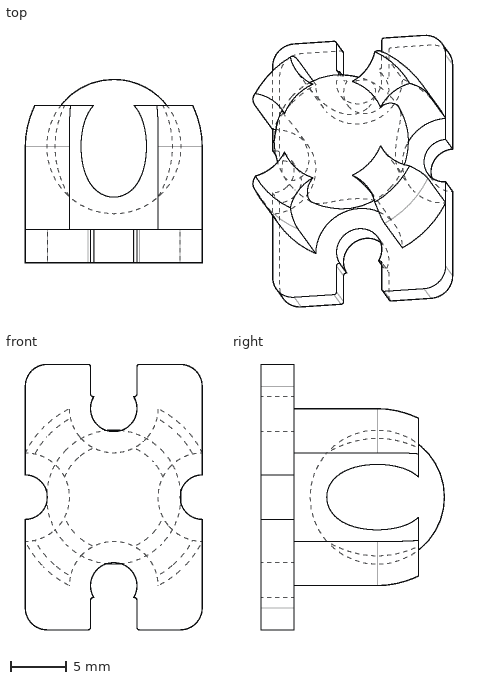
import cadquery as cq
import math

plate_height = 24.0
plate_width = plate_height * 2 / 3
plate_thickness = 3.0
corner_radius = plate_width / 8
side_notch_radius = plate_width / 8

slot_radius = 2.1
slot_seat_z = plate_height / 3
slot_lip_z = 9.07
slot_fillet = 0.25

ball_radius = 6.07
ball_center_y = 10.5
socket_end_y = 14.23
finger_count = 4
finger_gap_offset = plate_width / 2
finger_gap_radius = plate_width / 4
socket_radius = math.hypot(finger_gap_offset, finger_gap_radius)


def make_ball():
    """Ball with its poles on the socket axis."""
    return (
        cq.Workplane("XY")
        .moveTo(0, ball_center_y - ball_radius)
        .threePointArc((ball_radius, ball_center_y), (0, ball_center_y + ball_radius))
        .close()
        .revolve(360, (0, 0, 0), (0, 1, 0))
    )


def make_slot_cutter():
    """Upper screw slot, including the rounded lips and the rounded mouth edges."""
    top_z = plate_height / 2
    lip_x = math.sqrt(slot_radius**2 - (slot_lip_z - slot_seat_z)**2)
    fillet_x = slot_radius - slot_fillet
    mouth_x = slot_radius + slot_fillet
    diagonal = slot_fillet * math.sqrt(0.5)
    lip_arc_x = fillet_x + diagonal
    lip_arc_z = slot_lip_z + slot_fillet - diagonal
    mouth_arc_x = mouth_x - diagonal
    mouth_arc_z = top_z - slot_fillet + diagonal
    return (
        cq.Workplane("XZ")
        .moveTo(-lip_x, slot_lip_z)
        .threePointArc((0, slot_seat_z - slot_radius), (lip_x, slot_lip_z))
        .lineTo(fillet_x, slot_lip_z)
        .threePointArc((lip_arc_x, lip_arc_z), (slot_radius, slot_lip_z + slot_fillet))
        .lineTo(slot_radius, top_z - slot_fillet)
        .threePointArc((mouth_arc_x, mouth_arc_z), (mouth_x, top_z))
        .lineTo(-mouth_x, top_z)
        .threePointArc((-mouth_arc_x, mouth_arc_z), (-slot_radius, top_z - slot_fillet))
        .lineTo(-slot_radius, slot_lip_z + slot_fillet)
        .threePointArc((-lip_arc_x, lip_arc_z), (-fillet_x, slot_lip_z))
        .close()
        .extrude(-plate_thickness)
    )


def make_plate():
    plate = (
        cq.Workplane("XZ")
        .rect(plate_width, plate_height)
        .extrude(-plate_thickness)
        .edges("|Y")
        .fillet(corner_radius)
    )
    upper_slot = make_slot_cutter()
    plate = plate.cut(upper_slot).cut(upper_slot.mirror("XY"))
    side_notches = (
        cq.Workplane("XZ")
        .pushPoints([(-plate_width / 2, 0), (plate_width / 2, 0)])
        .circle(side_notch_radius)
        .extrude(-plate_thickness)
    )
    return plate.cut(side_notches)


def make_socket():
    """Cylinder with a spherical outer end, split into four fingers around the ball seat."""
    end_distance = socket_end_y - ball_center_y
    end_angle = math.asin(end_distance / socket_radius)
    end_radius = socket_radius * math.cos(end_angle)
    arc_x = socket_radius * math.cos(end_angle / 2)
    arc_y = ball_center_y + socket_radius * math.sin(end_angle / 2)
    socket = (
        cq.Workplane("XY")
        .moveTo(0, plate_thickness)
        .lineTo(socket_radius, plate_thickness)
        .lineTo(socket_radius, ball_center_y)
        .threePointArc((arc_x, arc_y), (end_radius, socket_end_y))
        .lineTo(0, socket_end_y)
        .close()
        .revolve(360, (0, 0, 0), (0, 1, 0))
    )
    gap = (
        cq.Workplane("XZ", origin=(-finger_gap_offset, plate_thickness, 0))
        .circle(finger_gap_radius)
        .extrude(plate_thickness - socket_end_y)
    )
    for gap_index in range(finger_count):
        turn = gap_index * 360 / finger_count
        socket = socket.cut(gap.rotate((0, 0, 0), (0, 1, 0), turn))
    return socket.cut(make_ball())


def make_holder():
    return make_plate().union(make_socket())


holder = make_holder()
ball = make_ball()

result = cq.Compound.makeCompound([holder.solids().val(), ball.solids().val()])